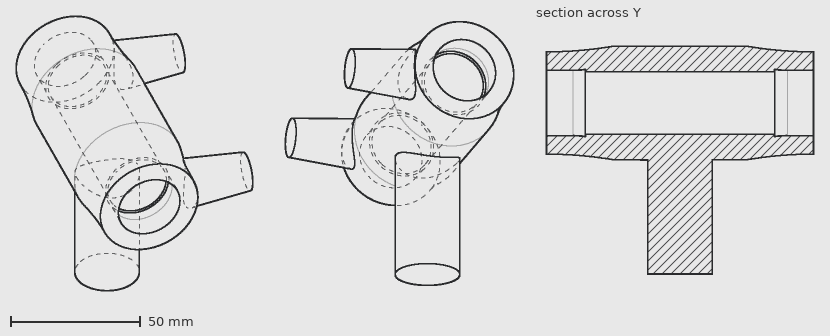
import cadquery as cq

length = 103.0
body_radius = 44.0 / 2
end_radius = 39.7 / 2
end_length = 25.8

socket_radius = 25.0 / 2
passage_radius = 23.8 / 2
socket_depth = 10.1
flare_radius = 25.8 / 2
shoulder_depth = 15.0

stem_radius = 25.0 / 2
stem_reach = 65.9

peg_offset = 41.2
peg_reach = 43.0
peg_length = 27.8
peg_tip_radius = 15.2 / 2
peg_root_radius = 20.0 / 2

half_length = length / 2
half_body = half_length - end_length


def make_barrel():
    """Revolve the barrel outline; each end arc runs level into its end face."""
    drop = body_radius - end_radius
    arc_radius = (end_length**2 + drop**2) / (2 * drop)
    half_run = end_length / 2
    mid_radius = end_radius + arc_radius - (arc_radius**2 - half_run**2) ** 0.5
    mid_x = half_body + half_run
    return (
        cq.Workplane("XY")
        .moveTo(-half_length, 0)
        .lineTo(-half_length, end_radius)
        .threePointArc((-mid_x, mid_radius), (-half_body, body_radius))
        .lineTo(half_body, body_radius)
        .threePointArc((mid_x, mid_radius), (half_length, end_radius))
        .lineTo(half_length, 0)
        .close()
        .revolve(360, (0, 0, 0), (1, 0, 0))
    )


def make_stem():
    return cq.Workplane("XY").circle(stem_radius).extrude(-stem_reach)


def make_peg(x):
    profile = [
        (x, peg_reach - peg_length),
        (x + peg_root_radius, peg_reach - peg_length),
        (x + peg_tip_radius, peg_reach),
        (x, peg_reach),
    ]
    return cq.Workplane("XY").polyline(profile).close().revolve(360, (x, 0, 0), (x, 1, 0))


def make_bore():
    """Revolve the through passage together with both flared end sockets."""
    socket_x = half_length - socket_depth
    shoulder_x = half_length - shoulder_depth
    profile = [
        (-half_length, 0),
        (-half_length, socket_radius),
        (-socket_x, socket_radius),
        (-shoulder_x, flare_radius),
        (-shoulder_x, passage_radius),
        (shoulder_x, passage_radius),
        (shoulder_x, flare_radius),
        (socket_x, socket_radius),
        (half_length, socket_radius),
        (half_length, 0),
    ]
    return cq.Workplane("XY").polyline(profile).close().revolve(360, (0, 0, 0), (1, 0, 0))


result = make_barrel().union(make_stem())
for x in (-peg_offset, peg_offset):
    result = result.union(make_peg(x))
result = result.cut(make_bore())